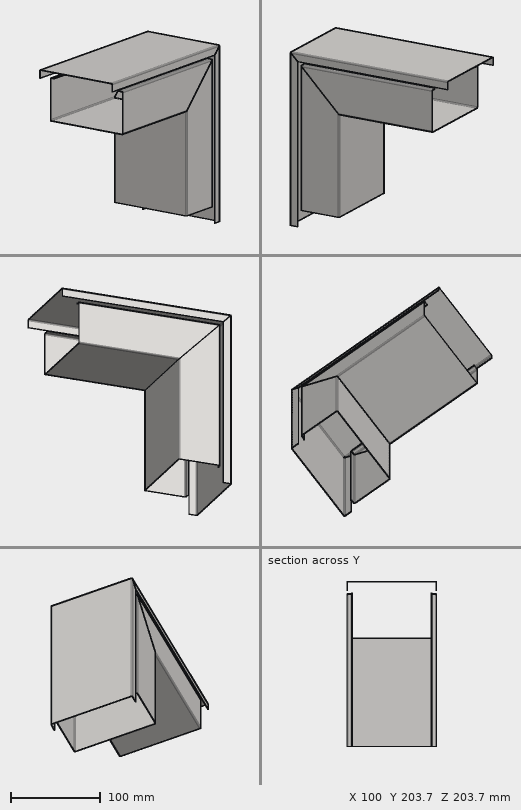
import cadquery as cq


sheet = 0.8
inner_bend = 0.6
outer_bend = inner_bend + sheet
width = 100.0
half_width = width / 2

cover_length = 203.7
cover_depth = 10.0
flange_clearance = 0.05

end_setback = 20.0
arm_end = cover_length - end_setback
lip_level = 13.6
lip_inside = lip_level + sheet
floor_level = 63.8
lip_width = 6.3


def leg_section(start):
    """Plane across the -Y leg at the given distance from the corner; it extrudes toward -Y."""
    return cq.Workplane(cq.Plane(origin=(0, -start, 0), xDir=(1, 0, 0), normal=(0, -1, 0)))


def rounded_bar(half_x, z_bottom, z_top, radius, start, end):
    """Bar along the -Y leg, centred on X, with its four long edges rounded."""
    section = leg_section(start).center(0, (z_bottom + z_top) / 2)
    bar = section.rect(2 * half_x, z_top - z_bottom).extrude(end - start)
    return bar.edges("|Y").fillet(radius)


def bent_tube(z_bottom, z_top, start, end):
    """Closed rectangular tube of bent sheet along the -Y leg."""
    outside = rounded_bar(half_width, z_bottom, z_top, outer_bend, start, end)
    inside = rounded_bar(
        half_width - sheet, z_bottom + sheet, z_top - sheet, inner_bend, start, end
    )
    return outside.cut(inside)


def mitre_wedge(clearance):
    """Space on the -Y leg's side of the mitre plane Y = Z, set back from it along Y."""
    corners = [(-clearance, 0), (-clearance - cover_length, -cover_length), (-clearance - cover_length, 0)]
    return cq.Workplane("YZ").polyline(corners).close().extrude(half_width, both=True)


def other_leg(leg):
    """Turn the -Y leg into the -Z leg."""
    return leg.rotate((0, 0, 0), (0, 1, 1), 180)


def make_cover():
    corner_plate = (
        cq.Workplane("YZ")
        .moveTo(-cover_length, 0)
        .lineTo(-outer_bend, 0)
        .radiusArc((0, -outer_bend), outer_bend)
        .lineTo(0, -cover_length)
        .lineTo(-sheet, -cover_length)
        .lineTo(-sheet, -outer_bend)
        .radiusArc((-outer_bend, -sheet), -inner_bend)
        .lineTo(-cover_length, -sheet)
        .close()
        .extrude(half_width - outer_bend, both=True)
    )
    tube = bent_tube(-2 * cover_depth, 0, outer_bend, cover_length)
    upper_half = (
        leg_section(outer_bend)
        .center(0, -cover_depth / 2)
        .rect(width, cover_depth)
        .extrude(cover_length - outer_bend)
    )
    leg = tube.intersect(upper_half).intersect(mitre_wedge(flange_clearance))
    return corner_plate.union(leg).union(other_leg(leg))


def hook_section(side, start):
    """Bend that turns the edge of a lip outward; side is 1 for +X and -1 for -X."""
    free_face = side * (half_width - lip_width)
    back_face = free_face + side * sheet
    bend_start = free_face + side * outer_bend
    hook_top = -lip_level + inner_bend
    return (
        leg_section(start)
        .moveTo(free_face, hook_top)
        .lineTo(back_face, hook_top)
        .radiusArc((bend_start, -lip_level), -side * inner_bend)
        .lineTo(bend_start, -lip_inside)
        .radiusArc((free_face, hook_top), side * outer_bend)
        .close()
    )


def make_arm():
    start = lip_inside
    arm = bent_tube(-floor_level, -lip_level, start, arm_end)
    opening_width = width - 2 * (lip_width - outer_bend)
    opening = leg_section(start).center(0, -lip_level).rect(opening_width, 2 * outer_bend)
    arm = arm.cut(opening.extrude(arm_end))
    for side in (1, -1):
        arm = arm.union(hook_section(side, start).extrude(arm_end - start))
    return arm.intersect(mitre_wedge(0))


cover = make_cover()
arm = make_arm()
arms = [arm, other_leg(arm)]
result = cq.Compound.makeCompound([cover.val(), *[leg.val() for leg in arms]])